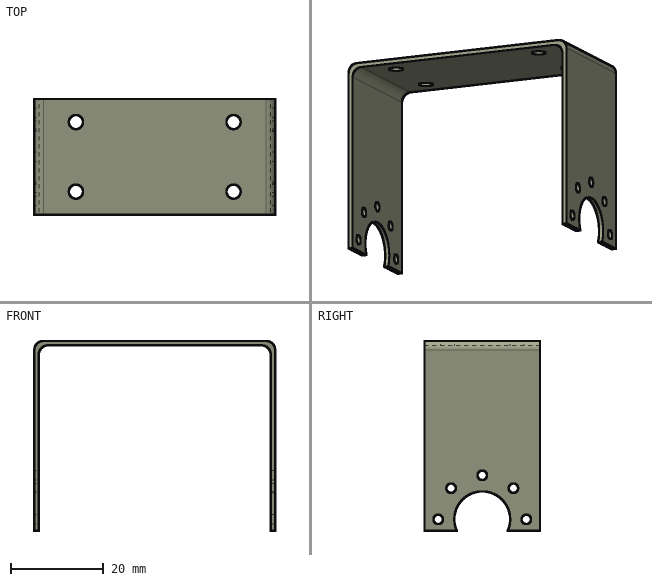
import cadquery as cq
import math

length = 52.0
width = 25.0
height = 41.0
sheet = 1.0
outer_bend_radius = 2.0
inner_bend_radius = 2.0

mount_hole_diameter = 3.0
mount_spacing_x = 34.0
mount_spacing_y = 15.0

axis_height = 2.5
bore_diameter = 12.0
screw_circle_radius = 9.5
screw_hole_diameter = 2.0
screw_count = 5


def make_channel():
    """U-shaped sheet, centred on X and Y, standing on Z = 0."""
    outer = (
        cq.Workplane("XY")
        .box(length, width, height, centered=(True, True, False))
        .edges("|Y and >Z")
        .fillet(outer_bend_radius)
    )
    inner = (
        cq.Workplane("XY")
        .box(length - 2 * sheet, width, height - sheet, centered=(True, True, False))
        .edges("|Y and >Z")
        .fillet(inner_bend_radius)
    )
    return outer.cut(inner)


def make_mount_holes():
    """Four vertical cylinders that pierce the top only."""
    return (
        cq.Workplane("XY", origin=(0, 0, height - sheet))
        .rarray(mount_spacing_x, mount_spacing_y, 2, 2)
        .circle(mount_hole_diameter / 2)
        .extrude(sheet)
    )


def make_flange_cylinders(diameter, centres):
    """Cylinders along X through both flanges, at (y, z) centres."""
    return (
        cq.Workplane("YZ")
        .pushPoints(centres)
        .circle(diameter / 2)
        .extrude(length / 2, both=True)
    )


def screw_centres():
    """Evenly spaced points over the upper half of the screw circle."""
    step = math.pi / (screw_count - 1)
    return [
        (
            screw_circle_radius * math.cos(i * step),
            axis_height + screw_circle_radius * math.sin(i * step),
        )
        for i in range(screw_count)
    ]


bracket = make_channel()
bracket = bracket.cut(make_mount_holes())
bracket = bracket.cut(make_flange_cylinders(bore_diameter, [(0, axis_height)]))
bracket = bracket.cut(make_flange_cylinders(screw_hole_diameter, screw_centres()))

result = bracket